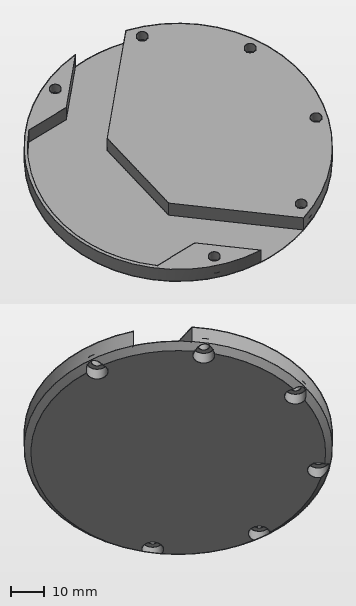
import cadquery as cq
import math

disc_radius = 46.0
disc_height = 8.0
bottom_chamfer = 2.0

floor_height = bottom_chamfer
lip_thickness = 1.0
island_half_width = 15.2
island_edge_y = -15.1
wing_inner_x = 31.7
wing_corner_y = -17.85

hole_diameter = 3.5
hole_circle_radius = 42.5
counterbore_diameter = 6.4
counterbore_depth = disc_height / 2
hole_spacing = 45.0
first_hole_angle = -hole_spacing / 2
hole_count = 6


def make_disc():
    disc = cq.Workplane("XY").circle(disc_radius).extrude(disc_height)
    return disc.faces("<Z").edges().chamfer(bottom_chamfer)


def make_pocket():
    """Area between the island, the wings and the thin lower lip."""
    side_x = disc_radius + lip_thickness
    island_side_y = island_edge_y + side_x - island_half_width
    wing_side_y = wing_corner_y + side_x - wing_inner_x
    lip_inner_radius = disc_radius - lip_thickness
    lip_end_y = -math.sqrt(lip_inner_radius**2 - wing_inner_x**2)
    return (
        cq.Workplane("XY", origin=(0, 0, floor_height))
        .moveTo(-island_half_width, island_edge_y)
        .lineTo(island_half_width, island_edge_y)
        .lineTo(side_x, island_side_y)
        .lineTo(side_x, wing_side_y)
        .lineTo(wing_inner_x, wing_corner_y)
        .lineTo(wing_inner_x, lip_end_y)
        .threePointArc((0, -lip_inner_radius), (-wing_inner_x, lip_end_y))
        .lineTo(-wing_inner_x, wing_corner_y)
        .lineTo(-side_x, wing_side_y)
        .lineTo(-side_x, island_side_y)
        .close()
        .extrude(disc_height - floor_height)
    )


def make_screw_holes():
    """Through holes with counterbores opening at the bottom face."""
    angles = [math.radians(first_hole_angle + i * hole_spacing) for i in range(hole_count)]
    centers = [(hole_circle_radius * math.cos(a), hole_circle_radius * math.sin(a)) for a in angles]
    bottom = cq.Workplane("XY").pushPoints(centers)
    through_holes = bottom.circle(hole_diameter / 2).extrude(disc_height)
    counterbores = bottom.circle(counterbore_diameter / 2).extrude(counterbore_depth)
    return through_holes.union(counterbores)


result = make_disc().cut(make_pocket()).cut(make_screw_holes())